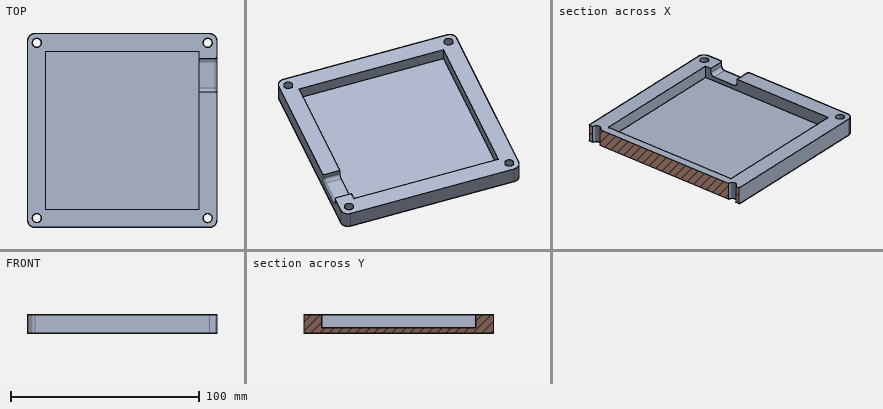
import cadquery as cq

LENGTH_X = 100.84
LENGTH_Y = 103.19
HEIGHT = 10.0
CORNER_RADIUS = 4.0

WALL = 9.5
FLOOR_THICKNESS = 3.0
POCKET_X = LENGTH_X - 2 * WALL
POCKET_Y = LENGTH_Y - 2 * WALL

HOLE_DIAMETER = 4.7
HOLE_EDGE_DISTANCE = 5.0

NOTCH_WIDTH = 17.8
NOTCH_DEPTH = 4.5
NOTCH_CENTRE_Y = 29.4
NOTCH_BOTTOM_RADIUS = 2.0
NOTCH_MOUTH_RADIUS = 1.0

CUT_CLEARANCE = 1.0
SELECTION_MARGIN = 0.1


def make_body():
    """Rectangular plate standing on Z = 0 with rounded vertical corners."""
    body = cq.Workplane("XY").box(LENGTH_X, LENGTH_Y, HEIGHT, centered=(True, True, False))
    return body.edges("|Z").fillet(CORNER_RADIUS)


def cut_notch(body):
    """Cut a round-bottomed notch through the +X wall and round its outer mouth."""
    cut_height = NOTCH_DEPTH + CUT_CLEARANCE
    cut_length = WALL + CUT_CLEARANCE
    notch = (
        cq.Workplane("XY")
        .box(cut_length, NOTCH_WIDTH, cut_height, centered=(False, True, False))
        .edges("|X and <Z")
        .fillet(NOTCH_BOTTOM_RADIUS)
        .translate((LENGTH_X / 2 - WALL, NOTCH_CENTRE_Y, HEIGHT - NOTCH_DEPTH))
    )
    body = body.cut(notch)

    mouth_edges = cq.selectors.BoxSelector(
        (
            LENGTH_X / 2 - SELECTION_MARGIN,
            NOTCH_CENTRE_Y - NOTCH_WIDTH / 2 - SELECTION_MARGIN,
            HEIGHT - NOTCH_DEPTH - SELECTION_MARGIN,
        ),
        (
            LENGTH_X / 2 + SELECTION_MARGIN,
            NOTCH_CENTRE_Y + NOTCH_WIDTH / 2 + SELECTION_MARGIN,
            HEIGHT - SELECTION_MARGIN,
        ),
    )
    return body.edges(mouth_edges).fillet(NOTCH_MOUTH_RADIUS)


def cut_pocket(body):
    """Hollow the plate from above, leaving the floor."""
    pocket = (
        cq.Workplane("XY")
        .workplane(offset=FLOOR_THICKNESS)
        .rect(POCKET_X, POCKET_Y)
        .extrude(HEIGHT - FLOOR_THICKNESS)
    )
    return body.cut(pocket)


def cut_screw_holes(body):
    """Drill one through hole in each corner."""
    spacing_x = LENGTH_X - 2 * HOLE_EDGE_DISTANCE
    spacing_y = LENGTH_Y - 2 * HOLE_EDGE_DISTANCE
    holes = (
        cq.Workplane("XY")
        .rect(spacing_x, spacing_y, forConstruction=True)
        .vertices()
        .circle(HOLE_DIAMETER / 2)
        .extrude(HEIGHT)
    )
    return body.cut(holes)


part = make_body()
part = cut_notch(part)
part = cut_pocket(part)
result = cut_screw_holes(part)